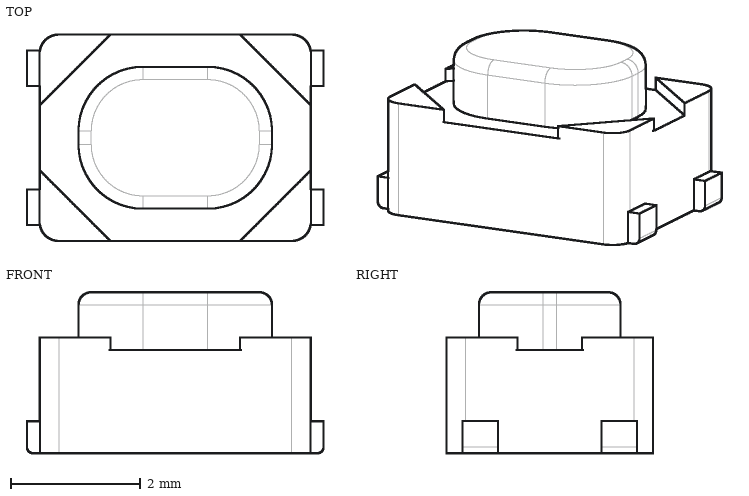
import cadquery as cq

overall_length = 4.6
body_width = 3.2
overall_height = 2.5

terminal_reach = 0.2
body_length = overall_length - 2 * terminal_reach
body_height = 1.6
body_corner_radius = 0.3

pad_thickness = 0.2
pad_leg = 1.1

button_length = 3.0
button_width = 2.2
button_corner_radius = 1.0
button_edge_radius = 0.2

terminal_width = 0.55
terminal_height = 0.5
terminal_spacing = 2.155
terminal_edge_radius = 0.1


def rounded_block(length, width, height, corner_radius):
    """Block standing on Z = 0 with rounded vertical edges."""
    block = cq.Workplane("XY").box(length, width, height, centered=(True, True, False))
    return block.edges("|Z").fillet(corner_radius)


def make_housing():
    return rounded_block(body_length, body_width, body_height, body_corner_radius)


def make_corner_pads():
    """Triangles at the four corners, trimmed to the rounded housing outline."""
    outline = rounded_block(body_length, body_width, body_height + pad_thickness, body_corner_radius)
    triangles = cq.Workplane("XY")
    for x_side in (-1, 1):
        for y_side in (-1, 1):
            corner_x = x_side * body_length / 2
            corner_y = y_side * body_width / 2
            triangle = (
                cq.Workplane("XY")
                .workplane(offset=body_height)
                .moveTo(corner_x, corner_y)
                .lineTo(corner_x - x_side * pad_leg, corner_y)
                .lineTo(corner_x, corner_y - y_side * pad_leg)
                .close()
                .extrude(pad_thickness)
            )
            triangles = triangles.add(triangle)
    return outline.intersect(triangles.combine())


def make_button():
    """Button rising through the housing, with a rounded top rim."""
    button = rounded_block(button_length, button_width, overall_height, button_corner_radius)
    return button.faces(">Z").edges().fillet(button_edge_radius)


def make_terminals():
    """Two bars across the housing whose ends form the four terminals."""
    bar = (
        cq.Workplane("XY")
        .box(overall_length, terminal_width, terminal_height, centered=(True, True, False))
        .faces("<Z")
        .edges("|Y")
        .fillet(terminal_edge_radius)
    )
    half_spacing = terminal_spacing / 2
    return bar.translate((0, half_spacing, 0)).union(bar.translate((0, -half_spacing, 0)))


result = make_housing().union(make_corner_pads()).union(make_button()).union(make_terminals())